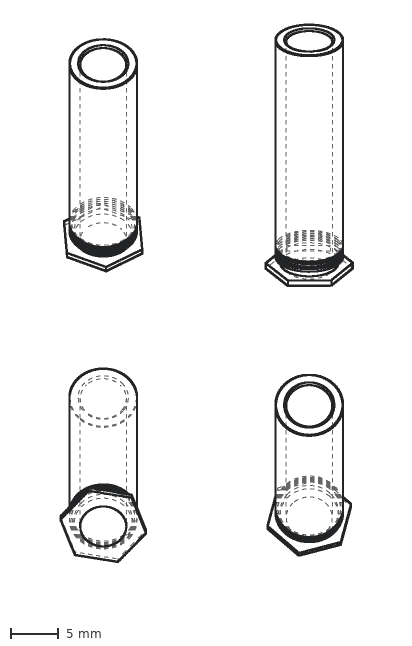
import cadquery as cq
import math

total_height = 27.0
hex_across_flats = 7.9
hex_across_corners = hex_across_flats / math.cos(math.pi / 6)
flange_thickness = 0.65

barrel_diameter = 7.13
neck_diameter = 6.1
neck_top = 1.45
rim_chamfer = 0.08
bore_diameter = 4.83
bore_chamfer = 0.22

groove_diameter = 6.6
groove_width = 0.3
groove_pitch = 2 * groove_width
groove_count = 2


def cylinder(diameter, bottom, top):
    """Cylinder on the Z axis between two heights."""
    return cq.Workplane("XY").workplane(offset=bottom).circle(diameter / 2).extrude(top - bottom)


def groove(bottom):
    """Ring-shaped cutter for one square groove around the barrel."""
    top = bottom + groove_width
    return cylinder(barrel_diameter, bottom, top).cut(cylinder(groove_diameter, bottom, top))


flange = cq.Workplane("XY").polygon(6, hex_across_corners).extrude(flange_thickness)

neck = cylinder(neck_diameter, flange_thickness, neck_top)
barrel = cylinder(barrel_diameter, neck_top, total_height)

for index in range(groove_count):
    barrel = barrel.cut(groove(neck_top + groove_width + index * groove_pitch))

barrel = barrel.faces(">Z").edges().chamfer(rim_chamfer)

bore = cylinder(bore_diameter, 0, total_height)
body = flange.union(neck).union(barrel).cut(bore)
bore_mouth = cq.selectors.RadiusNthSelector(0)
result = body.faces(">Z").edges(bore_mouth).chamfer(bore_chamfer)